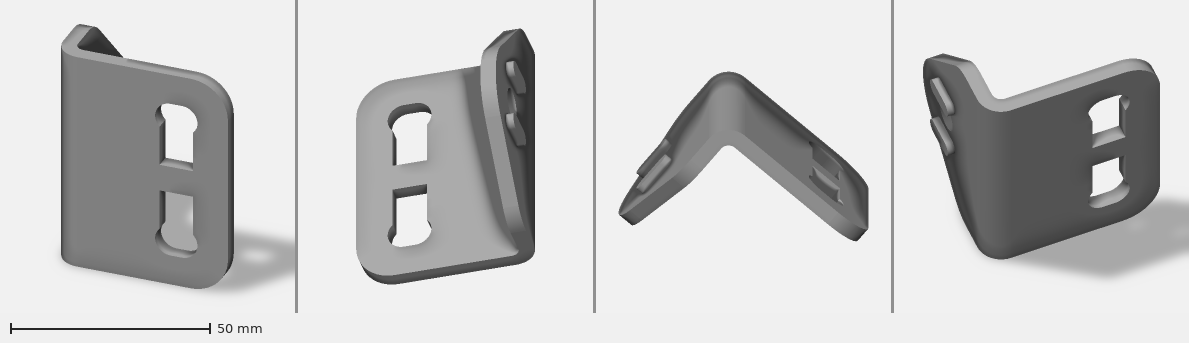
import cadquery as cq
import math

height = 60.0
thickness = 4.0
front_length = 47.05
bend_outer_radius = 6.5
bend_inner_radius = bend_outer_radius - thickness
corner_radius = 10.0

pivot_y = 26.5
nose_radius = 15.0
pivot_radius = 4.2
side_length = pivot_y + nose_radius

key_length = 11.45
key_width = 4.3
key_height = 2.0
key_offset = 8.0

slot_x = front_length - 13.9
slot_width = 9.0
slot_inner_z = 3.65
slot_outer_z = 21.7
head_width = 11.4
head_radius = 4.2


def bent_sheet():
    """L section with a rounded bend, extruded over the full height."""
    return (
        cq.Workplane("XY")
        .workplane(offset=-height / 2)
        .moveTo(bend_outer_radius, 0)
        .lineTo(front_length, 0)
        .lineTo(front_length, thickness)
        .lineTo(bend_outer_radius, thickness)
        .radiusArc((thickness, bend_outer_radius), bend_inner_radius)
        .lineTo(thickness, side_length)
        .lineTo(0, side_length)
        .lineTo(0, bend_outer_radius)
        .radiusArc((bend_outer_radius, 0), -bend_outer_radius)
        .close()
        .extrude(height)
    )


def side_outline():
    """Solid whose YZ outline is the tapered, rounded side flange."""
    half_height = height / 2
    tangent_offset = nose_radius * math.sin(math.radians(45))
    shoulder_y = pivot_y + nose_radius * math.sqrt(2) - half_height
    taper_y = pivot_y + tangent_offset
    return (
        cq.Workplane("YZ")
        .moveTo(0, -half_height)
        .lineTo(shoulder_y, -half_height)
        .lineTo(taper_y, -tangent_offset)
        .threePointArc((side_length, 0), (taper_y, tangent_offset))
        .lineTo(shoulder_y, half_height)
        .lineTo(0, half_height)
        .close()
        .extrude(front_length)
        .edges(cq.selectors.BoxSelector(
            (-0.6, shoulder_y - 0.6, -height), (front_length + 0.6, shoulder_y + 0.6, height)))
        .edges("|X")
        .fillet(corner_radius)
    )


def keyhole():
    """Upper keyhole cutter: straight slot ending in a wider obround head."""
    slot_head_z = slot_outer_z - head_radius
    slot_height = slot_head_z - slot_inner_z
    slot = (
        cq.Workplane("XY")
        .box(slot_width, thickness, slot_height, centered=(True, False, False))
        .translate((slot_x, 0, slot_inner_z))
    )
    head = (
        cq.Workplane("XZ")
        .center(slot_x, slot_head_z)
        .slot2D(head_width, 2 * head_radius)
        .extrude(-thickness)
    )
    return slot.union(head)


def locating_keys():
    """Two obround keys, above and below the pivot hole."""
    return (
        cq.Workplane("YZ")
        .pushPoints([(pivot_y, -key_offset), (pivot_y, key_offset)])
        .slot2D(key_length, key_width)
        .extrude(-key_height)
    )


bracket = bent_sheet().intersect(side_outline())
bracket = bracket.edges("|Y and >X").fillet(corner_radius)

pivot_hole = cq.Workplane("YZ").center(pivot_y, 0).circle(pivot_radius).extrude(thickness)
upper_keyhole = keyhole()
lower_keyhole = upper_keyhole.mirror("XY")

bracket = bracket.cut(pivot_hole).cut(upper_keyhole).cut(lower_keyhole)
result = bracket.union(locating_keys())